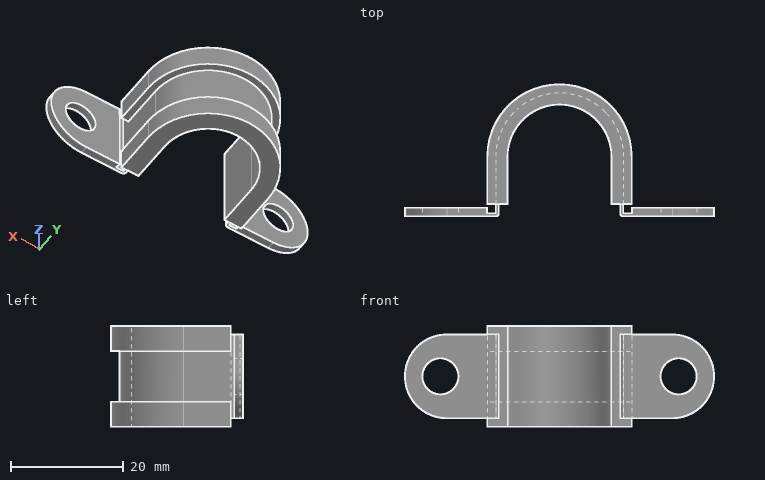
import cadquery as cq

saddle_width = 18.0
bore_radius = 9.25
saddle_radius = 12.9
leg_length = 8.5

groove_width = 9.0
groove_depth = 1.5
groove_radius = saddle_radius - groove_depth

overall_length = 55.2
overall_depth = 23.6
ear_width = 15.0
ear_thickness = 1.6
sheet_thickness = 0.6
hole_diameter = 6.4
hole_spacing = 42.5

ear_radius = ear_width / 2
ear_tip_x = overall_length / 2
ear_front_y = saddle_radius - overall_depth
neck_inner_x = groove_radius - sheet_thickness


def u_solid(radius, width):
    """Solid half-round arch with straight legs, centred on Z = 0."""
    return (
        cq.Workplane("XY")
        .workplane(offset=-width / 2)
        .moveTo(-radius, -leg_length)
        .lineTo(-radius, 0)
        .threePointArc((0, radius), (radius, 0))
        .lineTo(radius, -leg_length)
        .close()
        .extrude(width)
    )


def make_saddle():
    groove = u_solid(saddle_radius, groove_width).cut(u_solid(groove_radius, groove_width))
    return u_solid(saddle_radius, saddle_width).cut(u_solid(bore_radius, saddle_width)).cut(groove)


def make_ear():
    """Right-hand neck and ear, with a rounded fold, a rounded tip and a screw hole."""
    profile = (
        cq.Workplane("XY")
        .workplane(offset=-ear_width / 2)
        .moveTo(neck_inner_x, -leg_length)
        .lineTo(neck_inner_x, ear_front_y + sheet_thickness)
        .radiusArc((groove_radius, ear_front_y), -sheet_thickness)
        .lineTo(ear_tip_x, ear_front_y)
        .lineTo(ear_tip_x, ear_front_y + ear_thickness)
        .lineTo(saddle_radius, ear_front_y + ear_thickness)
        .lineTo(saddle_radius, ear_front_y + sheet_thickness)
        .lineTo(groove_radius, ear_front_y + sheet_thickness)
        .lineTo(groove_radius, -leg_length)
        .close()
        .extrude(ear_width)
    )
    hole = (
        cq.Workplane("XZ", origin=(hole_spacing / 2, ear_front_y, 0))
        .circle(hole_diameter / 2)
        .extrude(-ear_thickness)
    )
    outline = (
        cq.Workplane("XZ", origin=(0, -leg_length, 0))
        .moveTo(neck_inner_x, ear_radius)
        .lineTo(ear_tip_x - ear_radius, ear_radius)
        .threePointArc((ear_tip_x, 0), (ear_tip_x - ear_radius, -ear_radius))
        .lineTo(neck_inner_x, -ear_radius)
        .close()
        .extrude(-leg_length - ear_front_y)
    )
    return profile.intersect(outline).cut(hole)


ear = make_ear()
result = make_saddle().union(ear).union(ear.mirror("YZ"))